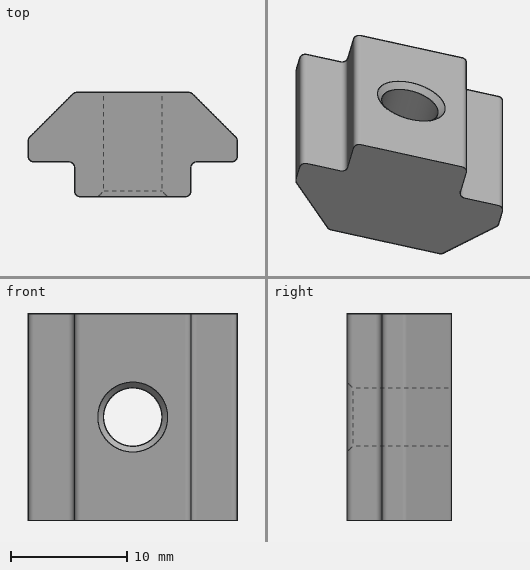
import cadquery as cq

width = 18.0
depth = 9.0
length = 17.8

stem_width = 10.0
stem_depth = 3.0
shoulder = (width - stem_width) / 2
edge_radius = 0.5

hole_diameter = 5.0
hole_chamfer = 0.5

half_width = width / 2
half_stem = stem_width / 2
front_y = -depth / 2
back_y = depth / 2
flange_y = front_y + stem_depth


def make_body():
    """Extrude the profile along Z and round all of its lengthwise edges."""
    right_side = [
        (half_stem, front_y),
        (half_stem, flange_y),
        (half_width, flange_y),
        (half_width, back_y - shoulder),
        (half_width - shoulder, back_y),
    ]
    left_side = [(-x, y) for x, y in reversed(right_side)]
    profile = cq.Workplane("XY").workplane(offset=-length / 2).polyline(right_side + left_side).close()
    return profile.extrude(length).edges("|Z").fillet(edge_radius)


def make_hole():
    """Through bore along Y, widened by a 45 degree cone at the stem face."""
    bore_radius = hole_diameter / 2
    mouth_radius = bore_radius + hole_chamfer
    return (
        cq.Workplane("XY")
        .moveTo(0, front_y)
        .lineTo(mouth_radius, front_y)
        .lineTo(bore_radius, front_y + hole_chamfer)
        .lineTo(bore_radius, back_y)
        .lineTo(0, back_y)
        .close()
        .revolve(360, (0, 0, 0), (0, 1, 0))
    )


result = make_body().cut(make_hole())